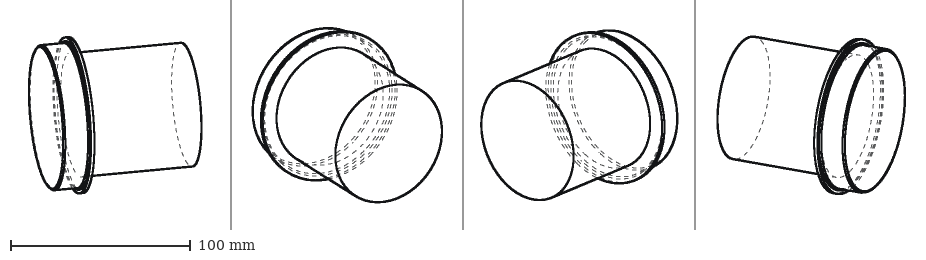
import cadquery as cq
import math

head_diameter = 81.2
flange_diameter = 87.2
body_diameter = 69.2

overall_length = 80.5
head_length = 15.0
flange_thickness = 2.0
edge_bevel = 1.0

diagonal = math.sqrt(0.5)
axis_plane = cq.Plane(origin=(0, 0, 0), xDir=(diagonal, -diagonal, 0), normal=(diagonal, diagonal, 0))


def cylinder(diameter, start, length):
    """Solid cylinder on the plug axis, starting at a distance behind the head face."""
    return cq.Workplane(axis_plane).workplane(offset=start).circle(diameter / 2).extrude(length)


def head():
    """Head cylinder with its face edge chamfered."""
    return cylinder(head_diameter, 0, head_length).faces("<(1, 1, 0)").chamfer(edge_bevel)


def flange():
    """Thin flange with a 45 degree cone that widens the head up to it."""
    disc = cylinder(flange_diameter, head_length, flange_thickness)
    cone = cq.Solid.makeCone(
        head_diameter / 2,
        head_diameter / 2 + edge_bevel,
        edge_bevel,
        pnt=axis_plane.toWorldCoords((0, 0, head_length - edge_bevel)),
        dir=axis_plane.zDir,
    )
    return disc.union(cone)


def body():
    """Plain cylinder behind the flange."""
    flange_back = head_length + flange_thickness
    return cylinder(body_diameter, flange_back, overall_length - flange_back)


result = head().union(flange()).union(body())